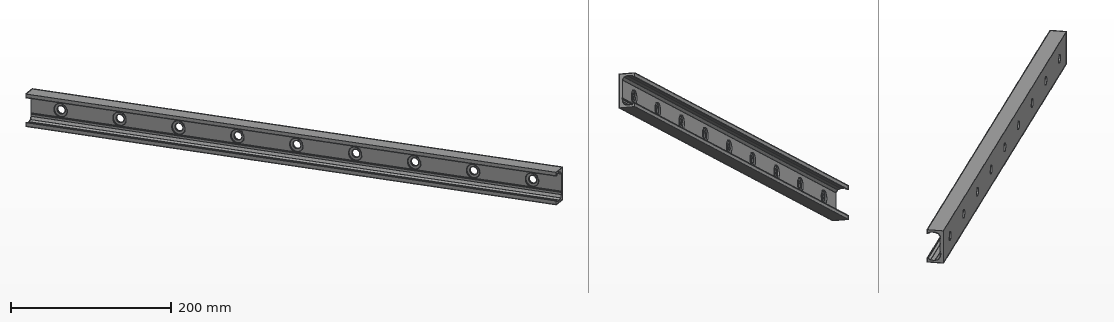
import cadquery as cq

length = 720.0
depth = 21.0
height = 43.0

web_thickness = 4.0
lip_thickness = 5.0
track_thickness = 3.0
lip_width = 1.5
track_start = 4.0
track_end = 10.0
shoulder_thickness = 4.0
shoulder_depth = 14.5
root_height = 8.0

groove_height = 11.5
groove_width = 1.5
groove_depth = 1.0

hole_count = 9
hole_pitch = length / hole_count
hole_diameter = 11.0
counterbore_diameter = 18.0
counterbore_depth = 2.0

web_face = depth - web_thickness

lower_edge = [
    (0, lip_thickness),
    (lip_width, lip_thickness),
    (track_start, track_thickness),
    (track_end, track_thickness),
    (shoulder_depth, shoulder_thickness),
    (web_face, root_height),
]
upper_edge = [(y, height - z) for y, z in reversed(lower_edge)]

groove = [
    (web_face, groove_height - groove_width / 2),
    (web_face + groove_depth, groove_height - groove_width / 2),
    (web_face + groove_depth, groove_height + groove_width / 2),
    (web_face, groove_height + groove_width / 2),
]


def make_channel():
    """Extrude the channel section along X."""
    inner_edge = lower_edge + groove + upper_edge
    outline = [(0, 0)] + inner_edge + [(0, height), (depth, height), (depth, 0)]
    return cq.Workplane("YZ").polyline(outline).close().extrude(length)


def make_hole_cutter(x):
    """Through hole with a counterbore on the inner face of the web."""
    inner_plane = cq.Workplane("XZ", origin=(x, web_face, height / 2))
    through = inner_plane.circle(hole_diameter / 2).extrude(-web_thickness)
    counterbore = inner_plane.circle(counterbore_diameter / 2).extrude(-counterbore_depth)
    return through.union(counterbore)


result = make_channel()
for index in range(hole_count):
    result = result.cut(make_hole_cutter((index + 0.5) * hole_pitch))